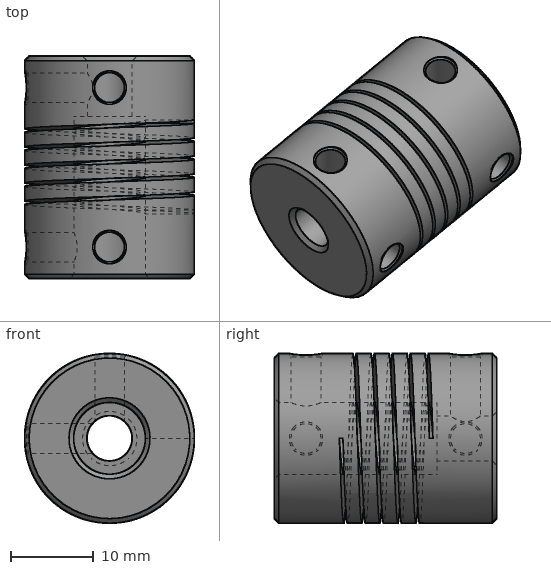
import cadquery as cq
import math

length = 26.87
outer_diameter = 20.5
large_bore_diameter = 8.65
small_bore_diameter = 5.43
bore_step = 6.18
edge_chamfer = 0.56

screw_diameter = 3.6
screw_mouth_diameter = 4.03
screw_offset = 9.62

slot_pitch = 2.18
slot_turns = 5
slot_width = 0.43
slot_center = 0.08

outer_radius = outer_diameter / 2
half_length = length / 2
slot_height = slot_pitch * slot_turns
cut_overlap = 0.27
seam_angle = 40


def cone_frustum(base_radius, top_radius, height, start):
    """Frustum about Z, with its base at the given height."""
    return cq.Workplane(cq.Solid.makeCone(base_radius, top_radius, height, cq.Vector(0, 0, start)))


def stepped_cylinder():
    """Cylinder about Z with chamfered rims and a stepped bore, the large bore at the lower end."""
    large_radius = large_bore_diameter / 2
    small_radius = small_bore_diameter / 2
    chamfer_start = half_length - edge_chamfer
    profile = [
        (large_radius + edge_chamfer, -half_length),
        (outer_radius - edge_chamfer, -half_length),
        (outer_radius, -chamfer_start),
        (outer_radius, chamfer_start),
        (outer_radius - edge_chamfer, half_length),
        (small_radius + edge_chamfer, half_length),
        (small_radius, chamfer_start),
        (small_radius, bore_step),
        (large_radius, bore_step),
        (large_radius, -chamfer_start),
    ]
    return cq.Workplane("XZ").polyline(profile).close().revolve(360, (0, 0), (0, 1))


def screw_hole():
    """Radial hole along +Z from the axis, with a countersunk mouth cut below the curved surface."""
    radius = screw_diameter / 2
    mouth_radius = screw_mouth_diameter / 2
    mouth_depth = mouth_radius - radius
    mouth_height = math.sqrt(outer_radius**2 - mouth_radius**2)
    hole = cq.Workplane("XY").circle(radius).extrude(outer_radius + cut_overlap)
    mouth = cone_frustum(radius, mouth_radius, mouth_depth, mouth_height - mouth_depth)
    clearance = (
        cq.Workplane("XY")
        .workplane(offset=mouth_height)
        .circle(mouth_radius)
        .extrude(outer_radius + cut_overlap - mouth_height)
    )
    return hole.union(mouth).union(clearance)


def helical_slot():
    """Right-handed slot about Z, starting and ending at +X and reaching into the bore."""
    inner_radius = large_bore_diameter / 2 - cut_overlap
    depth = outer_radius + cut_overlap - inner_radius
    path = cq.Wire.makeHelix(slot_pitch, slot_height, outer_radius)
    section = (
        cq.Workplane("XZ")
        .center(inner_radius + depth / 2, 0)
        .rect(depth, slot_width)
    )
    slot = section.sweep(cq.Workplane(path), isFrenet=True)
    return slot.translate((0, 0, slot_center - slot_height / 2))


body = stepped_cylinder()

body = body.rotate((0, 0, 0), (0, 0, 1), seam_angle)
body = body.cut(helical_slot())
body = body.rotate((0, 0, 0), (1, 0, 0), -90)

for end in (-1, 1):
    for tilt in (0, -90):
        hole = screw_hole().rotate((0, 0, 0), (0, 1, 0), tilt)
        body = body.cut(hole.translate((0, end * screw_offset, 0)))

result = body